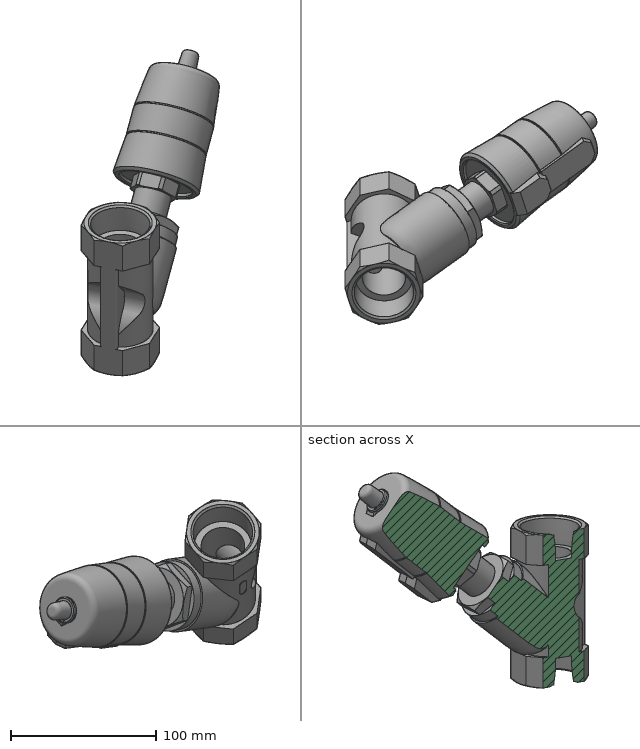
import cadquery as cq
import math


BODY_LENGTH = 110.0
END_FLATS = 50.0
END_LENGTH = 22.0
PIPE_DIAMETER = 45.2
BORE_DIAMETER = 30.0
SOCKET_DIAMETER = 39.67
SOCKET_DEPTH = 19.7
SOCKET_TAPER_DEPTH = 16.4
SOCKET_TAPER_DIAMETER = 40.9
SOCKET_MOUTH_DIAMETER = 44.0
SOCKET_MOUTH_DEPTH = 1.2
CORNER_CHAMFER_ANGLE = 30.0
PIPE_LENGTH = BODY_LENGTH - 2 * END_LENGTH

NOTCH_TOP = 18.0
NOTCH_BOTTOM = -24.0
NOTCH_MOUTH_Y = -22.0
NOTCH_TIP_Y = -8.6
NOTCH_ROOT_UPPER = (-10.2, 6.2)
NOTCH_ROOT_LOWER = (-12.4, -8.3)
NOTCH_BOTTOM_BEND = (-18.8, -15.4)
NOTCH_WALL = 3.6
RIDGE_RADIUS = 15.0
RIB_WIDTH = 12.3
RIB_EDGE_RADIUS = 1.0

PAD_LENGTH = 16.0
PAD_WIDTH = 6.0
PAD_CENTRE_Z = 9.9
PAD_PROUD = 0.3

AXIS_TILT = 40.0
AXIS_CROSSING_Z = -22.6

BRANCH_START = 8.3
BRANCH_ROUND_END = 15.2
BRANCH_CYLINDER_START = 22.2
COLLAR_START = 56.3
BONNET_START = 64.5
BONNET_END = 72.0
NUT_START = 90.0
ACTUATOR_START = 96.7
SKIRT_EDGE = 98.7
LOWER_JOINT = 125.5
UPPER_JOINT = 146.5
ACTUATOR_END = 178.58
FLANGE_END = 181.0
PIN_END = 194.37

BRANCH_DIAMETER = 50.5
BRANCH_ROUND_DIAMETER = 49.8
BRANCH_TIP_DIAMETER = 44.0
BRANCH_ROUND_MID_DIAMETER = 47.9
COLLAR_DIAMETER = 48.0
BONNET_FLATS = 41.6
BONNET_CHAMFER_DIAMETER = 41.0
NECK_DIAMETER = 26.0
NUT_FLATS = 30.2
NUT_CORNER_DIAMETER = 33.3
NUT_CHAMFER = 0.5

SKIRT_DIAMETER = 61.4
SKIRT_CHAMFER = 1.8
BAND_DIAMETER = 57.0
CAP_DIAMETER = 50.5
CAP_RADIUS = 5.0
FLARE_SAG = 0.2
JOINT_WIDTH = 1.0
JOINT_DEPTH = 0.25
RECESS_DIAMETER = 51.7
RECESS_DEPTH = 3.0
RECESS_CHAMFER = 0.8

FLANGE_DIAMETER = 18.2
FLANGE_CHAMFER = 0.8
PIN_BASE_DIAMETER = 13.2
PIN_DIAMETER = 12.0
PIN_RADIUS = 3.0

LUG_WIDTH = 19.0
LUG_SLOPE = 0.45
LOWER_LUG_REACH = 34.0
LOWER_LUG_END = 125.5
LOWER_LUG_BEVEL = 5.0
UPPER_LUG_REACH = 29.1
UPPER_LUG_END = 170.5
LUG_CORNER = 5.0

TILT = math.radians(AXIS_TILT)
AXIS_PLANE = cq.Plane(
    origin=(0, 0, AXIS_CROSSING_Z),
    xDir=(1, 0, 0),
    normal=(0, math.cos(TILT), math.sin(TILT)),
)


def across_corners(flats, sides):
    return flats / math.cos(math.pi / sides)


def corner_clip(start_radius, length, full_radius, slope_angle):
    """Turned envelope that bevels the corners of a prism at its far end."""
    bevel = (full_radius - start_radius) * math.tan(math.radians(slope_angle))
    return (
        cq.Workplane("XZ")
        .polyline([
            (0, 0),
            (full_radius, 0),
            (full_radius, length - bevel),
            (start_radius, length),
            (0, length),
        ])
        .close()
        .revolve(360, (0, 0), (0, 1))
    )


def on_branch_axis(shape):
    """Place a shape built along Z onto the branch axis."""
    return cq.Workplane(shape.val().moved(cq.Location(AXIS_PLANE)))



def octagon_end():
    """Upper octagonal end with bevelled corners."""
    corner_diameter = across_corners(END_FLATS, 8)
    prism = (
        cq.Workplane("XY")
        .polygon(8, corner_diameter)
        .extrude(END_LENGTH)
        .rotate((0, 0, 0), (0, 0, 1), 180 / 8)
    )
    clip = corner_clip(END_FLATS / 2, END_LENGTH, corner_diameter / 2, CORNER_CHAMFER_ANGLE)
    return prism.intersect(clip).translate((0, 0, PIPE_LENGTH / 2))


def notch():
    """Waist cut: sloped top, round root and a sloped bottom that eases into the pipe."""
    outside_y = -END_FLATS
    outline = (
        cq.Workplane("YZ")
        .moveTo(outside_y, NOTCH_TOP)
        .lineTo(NOTCH_MOUTH_Y, NOTCH_TOP)
        .lineTo(*NOTCH_ROOT_UPPER)
        .threePointArc((NOTCH_TIP_Y, 0), NOTCH_ROOT_LOWER)
        .threePointArc(NOTCH_BOTTOM_BEND, (NOTCH_MOUTH_Y, NOTCH_BOTTOM))
        .lineTo(outside_y, NOTCH_BOTTOM)
        .close()
    )
    return outline.extrude(END_FLATS / 2, both=True)


def bore():
    """Through bore, narrowed by a rounded ridge that walls off the waist."""
    ridge = (
        cq.Workplane("YZ")
        .center(NOTCH_TIP_Y + NOTCH_WALL - RIDGE_RADIUS, 0)
        .circle(RIDGE_RADIUS)
        .extrude(END_FLATS / 2, both=True)
    )
    hole = cq.Workplane("XY").circle(BORE_DIAMETER / 2).extrude(BODY_LENGTH / 2, both=True)
    return hole.cut(ridge)


def socket():
    """Upper end socket: chamfered mouth, slight taper, then a short straight bottom."""
    top = BODY_LENGTH / 2
    socket_radius = SOCKET_DIAMETER / 2
    return (
        cq.Workplane("XZ")
        .polyline([
            (0, top - SOCKET_DEPTH),
            (socket_radius, top - SOCKET_DEPTH),
            (socket_radius, top - SOCKET_TAPER_DEPTH),
            (SOCKET_TAPER_DIAMETER / 2, top - SOCKET_MOUTH_DEPTH),
            (SOCKET_MOUTH_DIAMETER / 2, top),
            (0, top),
        ])
        .close()
        .revolve(360, (0, 0), (0, 1))
    )


def rib():
    depth = END_FLATS / 2 + NOTCH_TIP_Y
    return (
        cq.Workplane("XY")
        .box(RIB_WIDTH, depth, PIPE_LENGTH)
        .edges("<Y and |Z")
        .fillet(RIB_EDGE_RADIUS)
        .translate((0, -END_FLATS / 2 + depth / 2, 0))
    )


def pad():
    pad_height = PIPE_DIAMETER / 2 + PAD_PROUD
    return (
        cq.Workplane("YZ")
        .center(0, PAD_CENTRE_Z)
        .slot2D(PAD_LENGTH, PAD_WIDTH, 90)
        .extrude(-pad_height)
    )



def branch():
    """Branch with a rounded inner end and a reduced collar at the outer end."""
    tip_radius = BRANCH_TIP_DIAMETER / 2
    round_radius = BRANCH_ROUND_DIAMETER / 2
    round_mid = (
        BRANCH_ROUND_MID_DIAMETER / 2,
        (BRANCH_START + BRANCH_ROUND_END) / 2,
    )
    profile = (
        cq.Workplane("XZ")
        .moveTo(0, BRANCH_START)
        .lineTo(tip_radius, BRANCH_START)
        .threePointArc(round_mid, (round_radius, BRANCH_ROUND_END))
        .lineTo(BRANCH_DIAMETER / 2, BRANCH_CYLINDER_START)
        .lineTo(BRANCH_DIAMETER / 2, COLLAR_START)
        .lineTo(COLLAR_DIAMETER / 2, COLLAR_START)
        .lineTo(COLLAR_DIAMETER / 2, BONNET_START)
        .lineTo(0, BONNET_START)
        .close()
    )
    return profile.revolve(360, (0, 0), (0, 1))


def bonnet():
    corner_diameter = across_corners(BONNET_FLATS, 6)
    length = BONNET_END - BONNET_START
    prism = cq.Workplane("XY").polygon(6, corner_diameter).extrude(length)
    clip = corner_clip(
        BONNET_CHAMFER_DIAMETER / 2, length, corner_diameter / 2, CORNER_CHAMFER_ANGLE
    )
    return prism.intersect(clip).translate((0, 0, BONNET_START))


def neck():
    return (
        cq.Workplane("XY")
        .workplane(offset=BONNET_START)
        .circle(NECK_DIAMETER / 2)
        .extrude(LOWER_JOINT - BONNET_START)
    )


def nut():
    """Hexagon under the actuator, its corners turned down."""
    base = cq.Workplane("XY").workplane(offset=NUT_START)
    length = LOWER_JOINT - NUT_START
    prism = base.polygon(6, across_corners(NUT_FLATS, 6)).extrude(length)
    clip = base.circle(NUT_CORNER_DIAMETER / 2).extrude(length).faces("<Z").chamfer(NUT_CHAMFER)
    return prism.intersect(clip)


def actuator():
    skirt_radius = SKIRT_DIAMETER / 2
    band_radius = BAND_DIAMETER / 2
    cap_radius = CAP_DIAMETER / 2
    cap_edge = ACTUATOR_END - CAP_RADIUS
    skirt_mid = (
        (skirt_radius + band_radius) / 2 - FLARE_SAG,
        (SKIRT_EDGE + LOWER_JOINT) / 2,
    )
    cap_mid = ((cap_radius + band_radius) / 2 + FLARE_SAG, (UPPER_JOINT + cap_edge) / 2)
    round_centre = cap_radius - CAP_RADIUS
    round_mid = (
        round_centre + CAP_RADIUS * math.sqrt(0.5),
        cap_edge + CAP_RADIUS * math.sqrt(0.5),
    )
    profile = (
        cq.Workplane("XZ")
        .moveTo(0, ACTUATOR_START)
        .lineTo(skirt_radius - SKIRT_CHAMFER, ACTUATOR_START)
        .lineTo(skirt_radius, SKIRT_EDGE)
        .threePointArc(skirt_mid, (band_radius, LOWER_JOINT))
        .lineTo(band_radius, UPPER_JOINT)
        .threePointArc(cap_mid, (cap_radius, cap_edge))
        .threePointArc(round_mid, (round_centre, ACTUATOR_END))
        .lineTo(0, ACTUATOR_END)
        .close()
    )
    body = profile.revolve(360, (0, 0), (0, 1))
    for joint in (LOWER_JOINT, UPPER_JOINT):
        body = body.cut(joint_groove(joint))
    return body


def joint_groove(station):
    return (
        cq.Workplane("XY")
        .workplane(offset=station - JOINT_WIDTH / 2)
        .circle(SKIRT_DIAMETER / 2)
        .circle(BAND_DIAMETER / 2 - JOINT_DEPTH)
        .extrude(JOINT_WIDTH)
    )


def skirt_recess():
    """Shallow recess under the skirt with a chamfered mouth."""
    recess = (
        cq.Workplane("XY")
        .workplane(offset=ACTUATOR_START)
        .circle(RECESS_DIAMETER / 2)
        .extrude(RECESS_DEPTH)
    )
    mouth = cq.Solid.makeCone(
        RECESS_DIAMETER / 2 + RECESS_CHAMFER,
        RECESS_DIAMETER / 2,
        RECESS_CHAMFER,
        pnt=cq.Vector(0, 0, ACTUATOR_START),
    )
    return recess.union(cq.Workplane(mouth))


def lug(start, end, reach, bevel=0):
    """Underside lug with a sloping end, cut-off end corners and an optional bevelled start."""
    outline = [(0, start), (reach - bevel, start)]
    if bevel:
        outline.append((reach, start + bevel))
    outline += [(reach, end), (0, end + LUG_SLOPE * reach)]
    block = cq.Workplane("YZ").polyline(outline).close().extrude(LUG_WIDTH / 2, both=True)
    end_middle = (0, reach / 2, end + LUG_SLOPE * reach / 2)
    sloping_end = block.faces(cq.NearestToPointSelector(end_middle))
    return sloping_end.edges("<X or >X").chamfer(LUG_CORNER)


def indicator_pin():
    pin_radius = PIN_DIAMETER / 2
    flange_radius = FLANGE_DIAMETER / 2
    round_start = PIN_END - PIN_RADIUS
    round_centre = pin_radius - PIN_RADIUS
    round_mid = (
        round_centre + PIN_RADIUS * math.sqrt(0.5),
        round_start + PIN_RADIUS * math.sqrt(0.5),
    )
    profile = (
        cq.Workplane("XZ")
        .moveTo(0, UPPER_JOINT)
        .lineTo(flange_radius, UPPER_JOINT)
        .lineTo(flange_radius, FLANGE_END - FLANGE_CHAMFER)
        .lineTo(flange_radius - FLANGE_CHAMFER, FLANGE_END)
        .lineTo(PIN_BASE_DIAMETER / 2, FLANGE_END)
        .lineTo(pin_radius, round_start)
        .threePointArc(round_mid, (round_centre, PIN_END))
        .lineTo(0, PIN_END)
        .close()
    )
    return profile.revolve(360, (0, 0), (0, 1))



stem = (
    actuator()
    .union(lug(ACTUATOR_START, LOWER_LUG_END, LOWER_LUG_REACH, LOWER_LUG_BEVEL))
    .union(lug(LOWER_JOINT, UPPER_LUG_END, UPPER_LUG_REACH))
    .cut(skirt_recess())
    .union(nut())
    .union(neck())
    .union(bonnet())
    .union(branch())
    .union(indicator_pin())
)

pipe = cq.Workplane("XY").circle(PIPE_DIAMETER / 2).extrude(PIPE_LENGTH / 2, both=True)
body = (
    pipe.cut(notch())
    .union(rib())
    .union(pad())
    .union(octagon_end())
    .union(octagon_end().mirror("XY"))
)

result = (
    body.union(on_branch_axis(stem))
    .cut(bore())
    .cut(socket())
    .cut(socket().mirror("XY"))
)